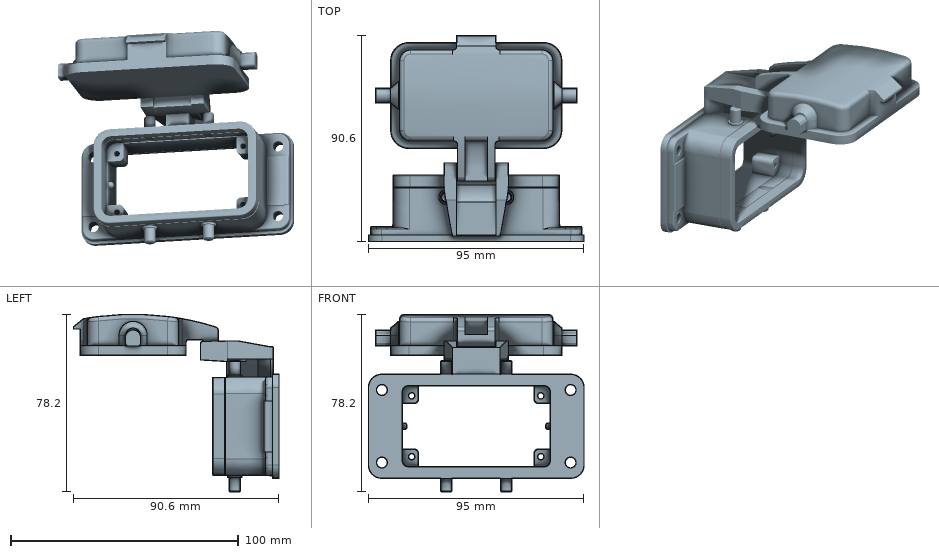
import cadquery as cq
import math


flange_width = 95.0
flange_height = 45.9
flange_thickness = 2.9
flange_radius = 6.0
screw_hole_diameter = 4.7
screw_hole_x = 41.5
screw_hole_z = 16.0

step_width = 92.9
step_radius = 4.8
step_edge = 0.6
screw_seat_y = 6.0
step_back_y = 6.7
step_pad_height = 22.4

housing_width = 73.15
housing_height = 43.1
housing_radius = 7.4
housing_draft = 0.6
seam_y = 23.7
seam_width = 0.5
seam_depth = 0.3
housing_back_y = 29.4
housing_back_edge = 0.5

opening_width = 65.0
opening_height = 35.5
opening_radius = 2.8
recess_start_y = 18.0
recess_depth = 0.5
recess_radius = 4.4
lip_depth = 1.7
lip_overhang = 0.1
rod_pocket_width = 3.8

wall_overlap = 0.95

post_inner_x = 25.6
post_inner_z = 10.2
post_front_y = 7.8
post_radius = 1.9
post_draft = 1.0
post_hole_diameter = 2.7
post_hole_x = 28.4
post_hole_z = 13.4

wall_pin_diameter = 3.0
wall_pin_y = 14.8
wall_pin_length = 2.0
wall_pin_round = 1.3

rod_diameter = 4.9
rod_x = 13.2
rod_y = 19.6
rod_reach = 28.9
rod_chamfer = 0.5
collar_diameter = 6.5
collar_reach = 22.5

bracket_front_y = 2.6
bracket_front_width = 21.1
bracket_width = 28.3
bracket_taper_y = 22.8
bracket_crest_y = 18.3
bracket_back_y = 34.7
bracket_front_z = 34.8
bracket_crest_z = 37.6
bracket_back_z = 37.3
bracket_bottom_z = 29.5
bracket_cheek_z = 28.4
bracket_tip_bottom_z = 29.2
bracket_tip_round = 0.95
bracket_slot_width = 17.3
web_panel_z = 35.1
web_front_chamfer = 0.4
web_panel_back_y = 17.5
web_valley_y = 24.9
web_valley_z = 32.6
web_back_y = 32.3
web_back_bottom_z = 29.4
web_low_front_y = 14.6
column_width = 10.1
column_back_y = 23.3
column_plate_back_y = 3.9

cover_y = 64.3
cover_bottom_z = 31.3
rim_top_z = 35.6
rim_width = 75.3
rim_length = 46.6
rim_radius = 8.1
rim_edge = 0.4
cover_width = 67.45
cover_length = 40.0
cover_radius = 4.8
cover_top_z = 49.3
cover_crown_radius = 121.6
cover_edge_radius = 2.0

nose_width = 17.3
nose_tip_y = 90.6
nose_tip_bottom_z = 42.75
nose_tip_top_z = 43.7
nose_top_y = 86.2
flare_radius = 1.7
arm_width = 16.5
arm_front_y = 26.8
arm_under_z = 38.0
arm_foot_z = 37.1
arm_root_y = 40.6
arm_foot_y = 34.0
arm_end_round = 1.9
arm_channel_width = 10.1
arm_channel_z = 40.5

lug_z = 40.0
lug_bottom_z = 35.3
lug_radius = 3.2
lug_foot_x = 34.3
lug_end_x = 44.3
pin_shoulder_inset = 0.5
pin_shoulder_z = 41.0
pin_top_z = 42.4
pin_bottom_round = 1.0
lug_base_radius = 6.2


def rounded_block(width, height, radius, start_y, end_y, draft=0):
    """Block centred on the Y axis with rounded corners, running from start_y to end_y."""
    block = (
        cq.Workplane("XZ", origin=(0, start_y, 0))
        .sketch()
        .rect(width, height)
        .vertices()
        .fillet(radius)
        .finalize()
    )
    return block.extrude(start_y - end_y, taper=draft)


def box_between(x_range, y_range, z_range):
    """Box spanning three coordinate ranges."""
    size = [high - low for low, high in (x_range, y_range, z_range)]
    corner = [low for low, high in (x_range, y_range, z_range)]
    return cq.Workplane("XY").box(*size, centered=False).translate(tuple(corner))


def side_profile(points, width):
    """Prism of a (Y, Z) outline, centred on X = 0."""
    return cq.Workplane("YZ").polyline(points).close().extrude(width / 2, both=True)


def crown_z(y):
    """Height of the crowned cover top at a given Y."""
    return cover_top_z - cover_crown_radius + math.sqrt(cover_crown_radius**2 - (y - cover_y) ** 2)


def housing_shell():
    flange = rounded_block(flange_width, flange_height, flange_radius, 0, flange_thickness)
    draft_growth = 2 * (seam_y - flange_thickness) * math.tan(math.radians(housing_draft))
    step = rounded_block(
        step_width,
        housing_height + draft_growth,
        step_radius,
        flange_thickness,
        screw_seat_y,
        housing_draft,
    )
    step = step.faces(">Y").edges().fillet(step_edge)
    pad = box_between(
        (-step_width / 2, step_width / 2),
        (flange_thickness, step_back_y),
        (-step_pad_height / 2, step_pad_height / 2),
    )
    pad = pad.faces(">Y").edges("|Z").fillet(step_edge)
    front_part = rounded_block(
        housing_width + draft_growth,
        housing_height + draft_growth,
        housing_radius,
        flange_thickness,
        seam_y,
        housing_draft,
    )
    seam_neck = rounded_block(
        housing_width - 2 * seam_depth,
        housing_height - 2 * seam_depth,
        housing_radius - seam_depth,
        seam_y,
        seam_y + seam_width,
    )
    rear_frame = rounded_block(
        housing_width, housing_height, housing_radius, seam_y + seam_width, housing_back_y
    )
    rear_frame = rear_frame.faces(">Y").edges().fillet(housing_back_edge)
    return flange.union(step).union(pad).union(front_part).union(seam_neck).union(rear_frame)


def widened_passage(margin, radius, start_y, end_y):
    """Length of the passage that is wider than the mouth by a margin on every side."""
    return rounded_block(
        opening_width + 2 * margin, opening_height + 2 * margin, radius, start_y, end_y
    )


def housing_passage():
    """Through passage: a fine lip at the mouth and a wider rear part with a groove at the seam."""
    mouth = rounded_block(opening_width, opening_height, opening_radius, 0, lip_depth)
    cavity = widened_passage(lip_overhang, opening_radius, lip_depth, recess_start_y)
    recess = widened_passage(recess_depth, recess_radius, recess_start_y, housing_back_y)
    groove = widened_passage(
        recess_depth + seam_depth, recess_radius + seam_depth, seam_y, seam_y + seam_width
    )
    return mouth.union(cavity).union(recess).union(groove)


def corner_post(side_x, side_z):
    width = opening_width / 2 + wall_overlap - post_inner_x
    height = opening_height / 2 + wall_overlap - post_inner_z
    return (
        cq.Workplane("XZ", origin=(0, post_front_y, 0))
        .center(side_x * (post_inner_x + width / 2), side_z * (post_inner_z + height / 2))
        .sketch()
        .rect(width, height)
        .vertices()
        .fillet(post_radius)
        .finalize()
        .extrude(post_front_y - recess_start_y, taper=-post_draft)
    )


def wall_pin(side):
    pin = (
        cq.Workplane("YZ", origin=(opening_width / 2 - wall_pin_length, wall_pin_y, 0))
        .circle(wall_pin_diameter / 2)
        .extrude(wall_pin_length + recess_depth)
        .faces("<X")
        .edges()
        .fillet(wall_pin_round)
    )
    return pin if side > 0 else pin.mirror("YZ")


def locking_rod(x, side_z):
    inner_z = opening_height / 2 + recess_depth + wall_overlap
    rod = (
        cq.Workplane("XY", origin=(x, rod_y, inner_z))
        .circle(rod_diameter / 2)
        .extrude(rod_reach - inner_z)
        .faces(">Z")
        .chamfer(rod_chamfer)
    )
    collar = (
        cq.Workplane("XY", origin=(x, rod_y, inner_z))
        .circle(collar_diameter / 2)
        .extrude(collar_reach - inner_z)
    )
    rod = rod.union(collar)
    return rod if side_z > 0 else rod.mirror("XY")


def rod_pocket(x):
    """Shallow round-ended pockets in the passage walls in front of the seam, beside the rods."""
    half_height = opening_height / 2 + recess_depth + seam_depth
    round_end = (
        cq.Workplane("XY", origin=(x, rod_y, 0))
        .circle(rod_pocket_width / 2)
        .extrude(half_height, both=True)
    )
    straight_end = box_between(
        (x - rod_pocket_width / 2, x + rod_pocket_width / 2),
        (rod_y, seam_y),
        (-half_height, half_height),
    )
    return round_end.union(straight_end)


def drill_along_y(x, z, diameter):
    return cq.Workplane("XZ", origin=(x, 0, z)).circle(diameter / 2).extrude(-housing_back_y)


def build_housing():
    housing = housing_shell().cut(housing_passage())
    for side_x in (-1, 1):
        housing = housing.union(wall_pin(side_x)).cut(rod_pocket(side_x * rod_x))
        for side_z in (-1, 1):
            housing = housing.union(corner_post(side_x, side_z))
            housing = housing.union(locking_rod(side_x * rod_x, side_z))
            post_hole = drill_along_y(side_x * post_hole_x, side_z * post_hole_z, post_hole_diameter)
            screw_hole = drill_along_y(side_x * screw_hole_x, side_z * screw_hole_z, screw_hole_diameter)
            housing = housing.cut(post_hole).cut(screw_hole)
    return housing


def bracket_cheeks():
    """Two side plates, narrowing towards the mounting face and sloping down from their crest."""
    half_front = bracket_front_width / 2
    half_back = bracket_width / 2
    plan = (
        cq.Workplane("XY")
        .polyline(
            [
                (-half_front, bracket_front_y),
                (half_front, bracket_front_y),
                (half_back, bracket_taper_y),
                (half_back, bracket_back_y),
                (-half_back, bracket_back_y),
                (-half_back, bracket_taper_y),
            ]
        )
        .close()
        .extrude(bracket_crest_z)
    )
    profile = side_profile(
        [
            (bracket_front_y, bracket_bottom_z),
            (bracket_front_y, bracket_front_z),
            (bracket_crest_y, bracket_crest_z),
            (bracket_back_y, bracket_back_z),
            (bracket_back_y, bracket_tip_bottom_z),
            (bracket_taper_y, bracket_cheek_z),
            (bracket_taper_y, bracket_bottom_z),
        ],
        bracket_width,
    )
    profile = profile.edges("|X").edges(">Y").edges(">Z").fillet(bracket_tip_round)
    slot = box_between(
        (-bracket_slot_width / 2, bracket_slot_width / 2),
        (0, bracket_back_y),
        (0, bracket_crest_z),
    )
    return plan.intersect(profile).cut(slot)


def bracket_web():
    """Panel between the side plates that dips under the arm of the cover."""
    return side_profile(
        [
            (bracket_front_y, bracket_bottom_z),
            (bracket_front_y, web_panel_z - web_front_chamfer),
            (bracket_front_y + web_front_chamfer, web_panel_z),
            (web_panel_back_y, web_panel_z),
            (web_valley_y, web_valley_z),
            (web_back_y, web_valley_z),
            (web_back_y, web_back_bottom_z),
            (bracket_taper_y, bracket_cheek_z),
            (web_low_front_y, bracket_cheek_z),
            (web_low_front_y, bracket_bottom_z),
        ],
        bracket_slot_width,
    )


def bracket_column():
    """Upright that carries the bracket: a narrow core flaring at 45 degrees into a front plate."""
    half_front = bracket_front_width / 2
    half_core = column_width / 2
    flare_back_y = column_plate_back_y + half_front - half_core
    foot_z = opening_height / 2 + recess_depth + wall_overlap
    return (
        cq.Workplane("XY", origin=(0, 0, foot_z))
        .polyline(
            [
                (-half_front, bracket_front_y),
                (half_front, bracket_front_y),
                (half_front, column_plate_back_y),
                (half_core, flare_back_y),
                (half_core, column_back_y),
                (-half_core, column_back_y),
                (-half_core, flare_back_y),
                (-half_front, column_plate_back_y),
            ]
        )
        .close()
        .extrude(bracket_bottom_z - foot_z)
    )


def crowned(shape):
    """Trim a cover part to the crowned top surface."""
    start_y = arm_front_y
    end_y = nose_tip_y
    under_crown = (
        cq.Workplane("YZ")
        .moveTo(start_y, 0)
        .lineTo(start_y, crown_z(start_y))
        .threePointArc((cover_y, cover_top_z), (end_y, crown_z(end_y)))
        .lineTo(end_y, 0)
        .close()
        .extrude(rim_width, both=True)
    )
    return shape.intersect(under_crown)


def cover_slab(width, length, radius, bottom_z, top_z):
    return (
        cq.Workplane("XY", origin=(0, cover_y, bottom_z))
        .rect(width, length)
        .extrude(top_z - bottom_z)
        .edges("|Z")
        .fillet(radius)
    )


def cover_body():
    rim = cover_slab(rim_width, rim_length, rim_radius, cover_bottom_z, rim_top_z)
    rim = rim.faces(">Z").edges().fillet(rim_edge)
    dome = crowned(cover_slab(cover_width, cover_length, cover_radius, cover_bottom_z, cover_top_z))
    dome = dome.faces(">Z").edges().fillet(cover_edge_radius)
    return rim.union(dome)


def flared_strip(width, side_y, end_y):
    """Strip of the cover running out along Y, joined to the cover wall by concave rounds."""
    wall_y = cover_y + side_y * cover_length / 2
    root_y = wall_y - side_y * cover_edge_radius
    neck_y = wall_y + side_y * flare_radius
    half_width = width / 2
    half_root = half_width + flare_radius
    bulge = flare_radius * (1 - math.sqrt(0.5))
    strip = (
        cq.Workplane("XY", origin=(0, 0, rim_top_z - rim_edge))
        .moveTo(-half_root, root_y)
        .lineTo(-half_root, wall_y)
        .threePointArc((-half_width - bulge, wall_y + side_y * bulge), (-half_width, neck_y))
        .lineTo(-half_width, end_y)
        .lineTo(half_width, end_y)
        .lineTo(half_width, neck_y)
        .threePointArc((half_width + bulge, wall_y + side_y * bulge), (half_root, wall_y))
        .lineTo(half_root, root_y)
        .close()
        .extrude(cover_top_z - rim_top_z)
    )
    return crowned(strip)


def latch_nose():
    rim_back_y = cover_y + rim_length / 2
    root_y = cover_y + cover_length / 2 - cover_edge_radius
    profile = side_profile(
        [
            (root_y, cover_bottom_z),
            (rim_back_y, cover_bottom_z),
            (rim_back_y, nose_tip_bottom_z),
            (nose_tip_y, nose_tip_bottom_z),
            (nose_tip_y, nose_tip_top_z),
            (nose_top_y, crown_z(nose_top_y)),
            (nose_top_y, cover_top_z),
            (root_y, cover_top_z),
        ],
        rim_width,
    )
    return flared_strip(nose_width, 1, nose_tip_y).intersect(profile)


def hinge_arm():
    rim_front_y = cover_y - rim_length / 2
    root_y = cover_y - cover_length / 2 + cover_edge_radius
    clearance = side_profile(
        [
            (arm_front_y, 0),
            (arm_front_y, arm_foot_z),
            (arm_foot_y - (arm_under_z - arm_foot_z), arm_foot_z),
            (arm_foot_y, arm_under_z),
            (arm_root_y, arm_under_z),
            (rim_front_y, arm_foot_z),
            (rim_front_y, 0),
        ],
        rim_width,
    )
    arm = flared_strip(arm_width, -1, arm_front_y).cut(clearance)
    arm = arm.edges("|X").edges("<Y").edges(">Z").fillet(arm_end_round)
    channel = box_between(
        (-arm_channel_width / 2, arm_channel_width / 2),
        (arm_front_y, root_y),
        (arm_channel_z, cover_top_z),
    )
    foot = box_between(
        (-arm_width / 2, arm_width / 2),
        (arm_front_y, web_back_y),
        (web_valley_z, arm_foot_z),
    )
    return arm.cut(channel).union(foot)


def lug_outline(workplane, radius):
    """Arch outline in the YZ plane: half round on top, straight sides below."""
    return (
        workplane.moveTo(-radius, lug_bottom_z - lug_z)
        .lineTo(-radius, 0)
        .threePointArc((0, radius), (radius, 0))
        .lineTo(radius, lug_bottom_z - lug_z)
        .close()
    )


def lug_pin(start_x):
    """Pin with upright sides, rounded lower edges and a shallow arched top."""
    shoulder_y = lug_radius - pin_shoulder_inset
    shoulder_z = pin_shoulder_z - lug_z
    top_z = pin_top_z - lug_z
    pin = (
        cq.Workplane("YZ", origin=(start_x, cover_y, lug_z))
        .moveTo(-lug_radius, lug_bottom_z - lug_z)
        .lineTo(-lug_radius, 0)
        .lineTo(-shoulder_y, shoulder_z)
        .threePointArc((0, top_z), (shoulder_y, shoulder_z))
        .lineTo(lug_radius, 0)
        .lineTo(lug_radius, lug_bottom_z - lug_z)
        .close()
        .extrude(lug_end_x - start_x)
    )
    return pin.edges("|X").edges("<Z").fillet(pin_bottom_round)


def side_lug(side):
    """Pin on a flared base that starts from a short straight foot on the cover wall."""
    inner_x = cover_width / 2 - cover_edge_radius
    foot = lug_outline(cq.Workplane("YZ", origin=(inner_x, cover_y, lug_z)), lug_base_radius)
    foot = foot.extrude(lug_foot_x - inner_x)
    base = lug_outline(cq.Workplane("YZ", origin=(lug_foot_x, cover_y, lug_z)), lug_base_radius)
    base = lug_outline(base.workplane(offset=rim_width / 2 - lug_foot_x), lug_radius).loft(ruled=True)
    lug = foot.union(base).union(lug_pin(lug_foot_x))
    return lug if side > 0 else lug.mirror("YZ")


def build_cover():
    cover = cover_body().union(latch_nose()).union(hinge_arm())
    for side in (-1, 1):
        cover = cover.union(side_lug(side))
    return cover


result = (
    build_housing()
    .union(bracket_column())
    .union(bracket_web())
    .union(bracket_cheeks())
    .union(build_cover())
)